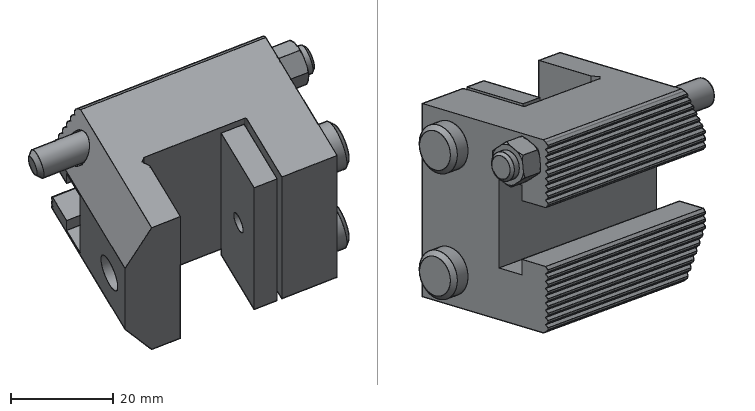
import cadquery as cq
import math


WIDTH = 33.0
DEPTH = 46.0
HEIGHT = 40.0
HALF_HEIGHT = HEIGHT / 2

FRONT_FACE_HALF = HALF_HEIGHT / 2
SLOPE_ANGLE = 30.0
SLOPE_RUN = (HALF_HEIGHT - FRONT_FACE_HALF) * math.tan(math.radians(SLOPE_ANGLE))

TOOTH_PITCH = 1.5
TOOTH_DEPTH = 0.55
TOOTH_TIP = 0.4
TEETH_PER_SIDE = 9
OUTER_TOOTH_Z = 18.9
EDGE_BREAK = 1.15

SLOT_MOUTH = 12.2
SLOT_LIP = 6.85
SLOT_INNER_X = 12.85
SLOT_INNER_HEIGHT = 18.6

MOUTH_X = 17.0
FRONT_JAW = 12.0
REAR_JAW = 12.0
MOUTH_REAR_Y = DEPTH - REAR_JAW
MOUTH_CORNER_RADIUS = 0.35
RELIEF_DEPTH = 0.9
RELIEF_START = 0.1
RELIEF_ANGLE = 30.0

STUD_X = 6.0
STUD_Z = 15.0
STUD_DIAMETER = 6.0
STUD_LENGTH = 60.0
STUD_FRONT_Y = -6.95
STUD_FRONT_CHAMFER = 1.0
STUD_REAR_CHAMFER = 0.6
CLEARANCE_DIAMETER = 6.6
CLEARANCE_DEPTH = 24.0

NUT_CORNER_DIAMETER = 9.25
NUT_HEIGHT = 5.0
NUT_TURN = 23.0
NUT_EDGE_ANGLE = 30.0
NUT_FACE_DIAMETER = 8.3

HEAD_X = 26.0
HEAD_Z = 13.0
HEAD_DIAMETER = 10.0
HEAD_HEIGHT = 4.1
HEAD_CHAMFER = 0.95

PLATE_GAP = 1.0
PLATE_THICKNESS = 5.0
PLATE_LENGTH = 14.75
FIXING_X = HEAD_X
ACCESS_DIAMETER = 7.5
PLATE_HOLE_DIAMETER = 4.2
TAP_HOLE_DIAMETER = 2.5
TAP_HOLE_DEPTH = 6.0


def rod(x, z, y_start, length, diameter):
    """Cylinder along +Y, starting at y_start."""
    return cq.Workplane("XZ", origin=(x, y_start, z)).circle(diameter / 2).extrude(-length)


def toothed_edge():
    """Upper serrated edge, from the top face down to the slot, as (x, z) points."""
    points = [(EDGE_BREAK, HALF_HEIGHT)]
    for i in range(TEETH_PER_SIDE):
        tip_z = OUTER_TOOTH_Z - i * TOOTH_PITCH
        points.append((TOOTH_DEPTH, tip_z + TOOTH_PITCH / 2))
        points.append((0, tip_z + TOOTH_TIP / 2))
        points.append((0, tip_z - TOOTH_TIP / 2))
    points.append((TOOTH_DEPTH, SLOT_MOUTH / 2))
    return points


def housing_profile():
    """Serrated and slotted section, symmetric about mid-height, extruded along Y."""
    upper = [(WIDTH, HALF_HEIGHT)]
    upper += toothed_edge()
    upper += [
        (SLOT_LIP, SLOT_MOUTH / 2),
        (SLOT_LIP, SLOT_INNER_HEIGHT / 2),
        (SLOT_INNER_X, SLOT_INNER_HEIGHT / 2),
    ]
    lower = [(x, -z) for x, z in reversed(upper)]
    return cq.Workplane("XZ").polyline(upper + lower).close().extrude(-DEPTH)


def side_envelope():
    """Side outline with the two sloped front edges, extruded along X."""
    outline = [
        (DEPTH, HALF_HEIGHT),
        (SLOPE_RUN, HALF_HEIGHT),
        (0, FRONT_FACE_HALF),
        (0, -FRONT_FACE_HALF),
        (SLOPE_RUN, -HALF_HEIGHT),
        (DEPTH, -HALF_HEIGHT),
    ]
    return cq.Workplane("YZ").polyline(outline).close().extrude(WIDTH)


def jaw_mouth():
    """Opening between the jaws, with a V relief in the front inner corner."""
    tip_x = MOUTH_X + RELIEF_DEPTH - RELIEF_START
    relief_end_x = tip_x + RELIEF_DEPTH / math.tan(math.radians(RELIEF_ANGLE))
    outline = [
        (MOUTH_X, MOUTH_REAR_Y),
        (MOUTH_X, FRONT_JAW - RELIEF_START),
        (tip_x, FRONT_JAW - RELIEF_DEPTH),
        (relief_end_x, FRONT_JAW),
        (WIDTH, FRONT_JAW),
        (WIDTH, MOUTH_REAR_Y),
    ]
    base = cq.Workplane("XY", origin=(0, 0, -HALF_HEIGHT))
    opening = base.polyline(outline).close().extrude(HEIGHT)
    rear_corner = cq.selectors.NearestToPointSelector((MOUTH_X, MOUTH_REAR_Y, 0))
    return opening.edges(rear_corner).fillet(MOUTH_CORNER_RADIUS)


def stud():
    """Headless stud, chamfered at both ends."""
    bar = rod(STUD_X, STUD_Z, STUD_FRONT_Y, STUD_LENGTH, STUD_DIAMETER)
    return bar.faces("<Y").chamfer(STUD_FRONT_CHAMFER).faces(">Y").chamfer(STUD_REAR_CHAMFER)


def nut():
    """Hexagon nut on the rear face, its corners bevelled at both ends."""
    hexagon = (
        cq.Workplane("XZ", origin=(STUD_X, DEPTH, STUD_Z))
        .transformed(rotate=(0, 0, NUT_TURN))
        .polygon(6, NUT_CORNER_DIAMETER)
        .extrude(-NUT_HEIGHT)
    )
    bevel_width = (NUT_CORNER_DIAMETER - NUT_FACE_DIAMETER) / 2
    bevel_height = bevel_width * math.tan(math.radians(NUT_EDGE_ANGLE))
    bevelled_blank = (
        rod(STUD_X, STUD_Z, DEPTH, NUT_HEIGHT, NUT_CORNER_DIAMETER)
        .faces("<Y or >Y")
        .chamfer(bevel_height, bevel_width)
    )
    return hexagon.intersect(bevelled_blank)


def screw_head(z):
    """Cylindrical screw head standing on the rear face."""
    return rod(HEAD_X, z, DEPTH, HEAD_HEIGHT, HEAD_DIAMETER).faces(">Y").chamfer(HEAD_CHAMFER)


def make_housing():
    body = housing_profile().intersect(side_envelope()).cut(jaw_mouth())
    for z in (STUD_Z, -STUD_Z):
        body = body.cut(rod(STUD_X, z, 0, CLEARANCE_DEPTH, CLEARANCE_DIAMETER))
    body = body.cut(rod(FIXING_X, 0, 0, FRONT_JAW, ACCESS_DIAMETER))
    body = body.cut(rod(FIXING_X, 0, MOUTH_REAR_Y, TAP_HOLE_DEPTH, TAP_HOLE_DIAMETER))
    for z in (HEAD_Z, -HEAD_Z):
        body = body.union(screw_head(z))
    return body.union(nut()).union(stud())


def make_clamping_plate():
    rear_y = MOUTH_REAR_Y - PLATE_GAP
    front_y = rear_y - PLATE_THICKNESS
    plate = cq.Workplane("XY").box(PLATE_LENGTH, PLATE_THICKNESS, HEIGHT).translate(
        (WIDTH - PLATE_LENGTH / 2, (front_y + rear_y) / 2, 0)
    )
    return plate.cut(rod(FIXING_X, 0, front_y, PLATE_THICKNESS, PLATE_HOLE_DIAMETER))


housing = make_housing()
clamping_plate = make_clamping_plate()

result = cq.Compound.makeCompound([housing.solids().val(), clamping_plate.solids().val()])